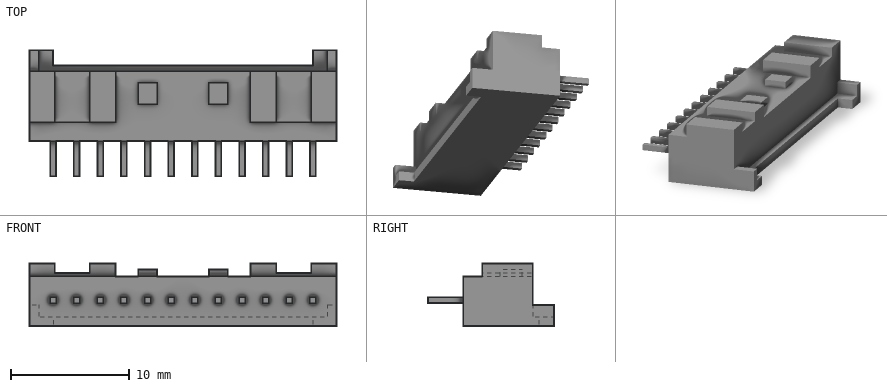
import cadquery as cq

body_length = 26.0
body_depth = 5.9
body_height = 4.2

overall_height = 5.3
shoulder_depth = 4.3
outer_shoulder_length = 2.15
saddle_length = 2.95
inner_shoulder_length = 2.2
saddle_height = 4.5

pad_length = 1.6
pad_depth = 1.85
pad_height = 4.8
pad_back_inset = 0.95
pad_offset = 3.0

lip_floor_height = 0.8
lip_depth = 0.5
corner_length = 2.0
corner_depth = 1.8
side_wall_thickness = 0.8
side_wall_height = 1.8

pin_count = 12
pin_pitch = 2.0
pin_width = 0.5
pin_length = 3.0
pin_center_height = 2.2


def box_between(x_range, y_range, z_range):
    """Axis-aligned box given the low and high limit along each axis."""
    lows, highs = zip(x_range, y_range, z_range)
    sizes = [high - low for low, high in zip(lows, highs)]
    return cq.Workplane("XY").box(*sizes, centered=False).translate(lows)


def make_body():
    half_length = body_length / 2
    return box_between((-half_length, half_length), (-body_depth, 0), (0, body_height))


def make_left_shoulders():
    """Outer block, low saddle and inner block in a row from the -X end."""
    steps = [
        (outer_shoulder_length, overall_height),
        (saddle_length, saddle_height),
        (inner_shoulder_length, overall_height),
    ]
    start = -body_length / 2
    shoulders = cq.Workplane("XY")
    for length, height in steps:
        step = box_between((start, start + length), (-shoulder_depth, 0), (0, height))
        shoulders = shoulders.union(step)
        start += length
    return shoulders


def make_left_pad():
    x_range = (-pad_offset - pad_length / 2, -pad_offset + pad_length / 2)
    y_range = (-pad_back_inset - pad_depth, -pad_back_inset)
    return box_between(x_range, y_range, (0, pad_height))


def make_left_corner():
    """Rear corner: floor extension with a taller wall along the end face."""
    end = -body_length / 2
    floor = box_between((end, end + corner_length), (0, corner_depth), (0, lip_floor_height))
    wall = box_between((end, end + side_wall_thickness), (0, corner_depth), (0, side_wall_height))
    return floor.union(wall)


def make_lip():
    half_length = body_length / 2
    return box_between((-half_length, half_length), (0, lip_depth), (0, lip_floor_height))


def make_pins():
    half_width = pin_width / 2
    first_pin = -pin_pitch * (pin_count - 1) / 2
    z_range = (pin_center_height - half_width, pin_center_height + half_width)
    pins = cq.Workplane("XY")
    for index in range(pin_count):
        center = first_pin + index * pin_pitch
        x_range = (center - half_width, center + half_width)
        pins = pins.union(box_between(x_range, (-body_depth - pin_length, -body_depth), z_range))
    return pins


left_features = make_left_shoulders().union(make_left_pad()).union(make_left_corner())
right_features = left_features.mirror("YZ")

result = make_body().union(make_lip()).union(left_features).union(right_features).union(make_pins())